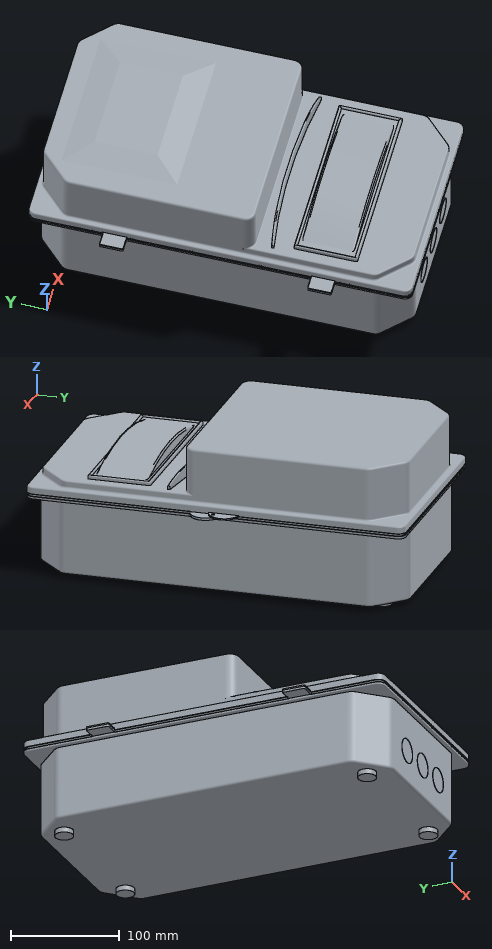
import cadquery as cq
import math

flange_width = 200.0
flange_length = 365.0
flange_corner_radius = 7.5
gasket_inset = 1.2
flange_edge_radius = 1.0
rim_edge_radius = 1.5

foot_height = 5.0
base_flange_bottom = 77.0
base_flange_top = 79.7
parting_level = 82.0
rim_top = 89.0
deck_top = 96.5
housing_top = 141.2
window_top = 146.0

base_inset = 4.2
corner_cut = 29.0
corner_blend = 10.0
bottom_edge_radius = 2.5
foot_diameter = 17.5
foot_x = 68.5
foot_y = 153.0
knockout_diameter = 23.8
knockout_pitch = 34.5
knockout_level = 37.0
knockout_depth = 0.3
knockout_count = 3

cover_inset = 5.8
deck_edge_radius = 1.5
housing_edge_radius = 2.5
rim_blend_radius = 2.0
housing_front_y = -31.3
housing_corner_radius = 10.0
housing_foot_radius = 1.2
level_tolerance = 0.1
window_width = 143.0
window_length = 110.0
window_center_y = 102.0
window_slope_run = 25.0

eyebrow_half_span = 87.3
eyebrow_back_y = -39.3
eyebrow_plan_rise = 7.3
eyebrow_thickness = 2.4
eyebrow_top = 106.7
eyebrow_flat_half = 53.0
eyebrow_end_radius = 90.0
eyebrow_edge_radius = 1.0

lid_width = 166.5
lid_length = 60.5
lid_height = 2.0
lid_center_y = -97.0
lid_bead_radius = 1.5
dome_width = 149.0
dome_length = 49.5
dome_peak = 109.5
dome_edge_radius = 1.5

hinge_reach = 14.0
hinge_width = 22.4
hinge_y = 99.0
hinge_corner_radius = 1.2
tab_top = 83.3
latch_radius = 14.5
latch_center_x = 97.95
latch_offset_y = 9.0
seal_hole_diameter = 3.0
seal_hole_x = 104.0


def rounded_plate(width, length, corner_radius, bottom, top):
    """Rectangular plate with rounded vertical corners, centred on Z."""
    plate = cq.Workplane("XY").workplane(offset=bottom).rect(width, length).extrude(top - bottom)
    return plate.edges("|Z").fillet(corner_radius)


def cut_corner_block(inset, bottom, top):
    """Block set back from the flange edge, with blended 45 degree corners."""
    block = (
        cq.Workplane("XY")
        .workplane(offset=bottom)
        .rect(flange_width - 2 * inset, flange_length - 2 * inset)
        .extrude(top - bottom)
    )
    return block.edges("|Z").chamfer(corner_cut).edges("|Z").fillet(corner_blend)


def side_tabs(latch_y, bottom, top):
    """Two hinge leaves on -X and one round latch ear on +X, reaching inside the flange."""
    root_x = -flange_width / 2 + gasket_inset + hinge_corner_radius
    tip_x = -flange_width / 2 - hinge_reach
    thickness = top - bottom
    leaves = (
        cq.Workplane("XY")
        .workplane(offset=bottom)
        .pushPoints([((root_x + tip_x) / 2, y) for y in (-hinge_y, hinge_y)])
        .rect(root_x - tip_x, hinge_width)
        .extrude(thickness)
        .edges("|Z and <X")
        .fillet(hinge_corner_radius)
    )
    ear = (
        cq.Workplane("XY")
        .workplane(offset=bottom)
        .center(latch_center_x, latch_y)
        .circle(latch_radius)
        .extrude(thickness)
    )
    return leaves.union(ear)


def seal_hole():
    """Drill for the seal wire through both latch ears."""
    return (
        cq.Workplane("XY")
        .workplane(offset=base_flange_top)
        .center(seal_hole_x, 0)
        .circle(seal_hole_diameter / 2)
        .extrude(tab_top - base_flange_top)
    )


def make_base():
    body = cut_corner_block(base_inset, foot_height, base_flange_top)
    body = body.faces("<Z").edges().fillet(bottom_edge_radius)
    flange = rounded_plate(
        flange_width, flange_length, flange_corner_radius, base_flange_bottom, base_flange_top
    )
    flange = flange.faces("<Z").edges().fillet(flange_edge_radius)
    gasket_band = rounded_plate(
        flange_width - 2 * gasket_inset,
        flange_length - 2 * gasket_inset,
        flange_corner_radius - gasket_inset,
        base_flange_top,
        parting_level,
    )
    feet = (
        cq.Workplane("XY")
        .rect(2 * foot_x, 2 * foot_y, forConstruction=True)
        .vertices()
        .circle(foot_diameter / 2)
        .extrude(foot_height)
    )
    tabs = side_tabs(-latch_offset_y, base_flange_top, parting_level)
    base = body.union(flange).union(gasket_band).union(feet).union(tabs)

    front_y = -flange_length / 2 + base_inset
    knockouts = (
        cq.Workplane("XZ", origin=(0, front_y, knockout_level))
        .rarray(knockout_pitch, 1, knockout_count, 1)
        .circle(knockout_diameter / 2)
        .extrude(-knockout_depth)
    )
    return base.cut(knockouts).cut(seal_hole())


def make_housing():
    """Tall meter housing: the rear part of the cover outline."""
    outline = cut_corner_block(cover_inset, rim_top, housing_top)
    rear_y = flange_length / 2
    rear_half = (
        cq.Workplane("XY")
        .workplane(offset=rim_top)
        .center(0, (rear_y + housing_front_y) / 2)
        .rect(flange_width - 2 * cover_inset, rear_y - housing_front_y)
        .extrude(housing_top - rim_top)
        .edges("|Z and <Y")
        .fillet(housing_corner_radius)
    )
    return outline.intersect(rear_half).faces(">Z").edges().fillet(housing_edge_radius)


def make_window():
    """Raised window with four sloping sides."""
    return (
        cq.Workplane("XY", origin=(0, window_center_y, housing_top))
        .rect(window_width, window_length)
        .workplane(offset=window_top - housing_top)
        .rect(window_width - 2 * window_slope_run, window_length - 2 * window_slope_run)
        .loft(ruled=True)
    )


def make_eyebrow():
    """Thin rib, bowed in plan, with a level top that curves down at both ends."""
    end_y = eyebrow_back_y - eyebrow_plan_rise
    end_front_y = end_y - eyebrow_thickness
    strip = (
        cq.Workplane("XY")
        .workplane(offset=deck_top)
        .moveTo(-eyebrow_half_span, end_y)
        .threePointArc((0, eyebrow_back_y), (eyebrow_half_span, end_y))
        .lineTo(eyebrow_half_span, end_front_y)
        .threePointArc((0, eyebrow_back_y - eyebrow_thickness), (-eyebrow_half_span, end_front_y))
        .close()
        .extrude(eyebrow_top - deck_top)
    )
    end_run = eyebrow_half_span - eyebrow_flat_half
    end_level = eyebrow_top - eyebrow_end_radius + math.sqrt(eyebrow_end_radius**2 - end_run**2)
    elevation = (
        cq.Workplane("XZ", origin=(0, eyebrow_back_y, 0))
        .moveTo(-eyebrow_half_span, deck_top)
        .lineTo(-eyebrow_half_span, end_level)
        .radiusArc((-eyebrow_flat_half, eyebrow_top), eyebrow_end_radius)
        .lineTo(eyebrow_flat_half, eyebrow_top)
        .radiusArc((eyebrow_half_span, end_level), eyebrow_end_radius)
        .lineTo(eyebrow_half_span, deck_top)
        .close()
        .extrude(eyebrow_back_y - end_front_y)
    )
    rib = strip.intersect(elevation)
    return rib.faces(">Z").edges("not #Z").fillet(eyebrow_edge_radius)


def make_cover():
    rim = rounded_plate(flange_width, flange_length, flange_corner_radius, parting_level, rim_top)
    rim = rim.faces(">Z").edges().fillet(rim_edge_radius)
    deck = cut_corner_block(cover_inset, rim_top, deck_top)
    deck = deck.faces(">Z").edges().fillet(deck_edge_radius)
    upper = deck.union(make_housing())
    cover = rim.union(upper)
    reach_x = flange_width / 2 - rim_blend_radius
    reach_y = flange_length / 2 - rim_blend_radius
    wall_foot = cq.selectors.BoxSelector(
        (-reach_x, -reach_y, rim_top - level_tolerance),
        (reach_x, reach_y, rim_top + level_tolerance),
        boundingbox=True,
    )
    cover = cover.edges(wall_foot).fillet(rim_blend_radius)
    cover = cover.edges(cq.selectors.NearestToPointSelector((0, housing_front_y, deck_top)))
    cover = cover.fillet(housing_foot_radius)
    cover = cover.union(make_window()).union(make_eyebrow())
    cover = cover.union(side_tabs(latch_offset_y, parting_level, tab_top))
    return cover.cut(seal_hole())


def make_lid_bead(level):
    """Half-round bead bars with ball corners, on the edge of the lid plate."""
    reach_x = lid_width / 2 - lid_bead_radius
    reach_y = lid_length / 2 - lid_bead_radius
    bead = cq.Workplane("XY")
    for side in (-1, 1):
        long_bar = cq.Workplane("YZ", origin=(-reach_x, lid_center_y + side * reach_y, level))
        bead = bead.union(long_bar.circle(lid_bead_radius).extrude(2 * reach_x))
        short_bar = cq.Workplane("XZ", origin=(side * reach_x, lid_center_y + reach_y, level))
        bead = bead.union(short_bar.circle(lid_bead_radius).extrude(2 * reach_y))
        for end in (-1, 1):
            corner = (side * reach_x, lid_center_y + end * reach_y, level)
            bead = bead.union(cq.Workplane("XY", origin=corner).sphere(lid_bead_radius))
    return bead


def make_dome():
    """Arched breaker cover, rounded along its two curved edges."""
    spring_level = deck_top + lid_height
    dome = (
        cq.Workplane("XZ", origin=(0, lid_center_y + dome_length / 2, 0))
        .moveTo(-dome_width / 2, spring_level)
        .threePointArc((0, dome_peak), (dome_width / 2, spring_level))
        .close()
        .extrude(dome_length)
    )
    return dome.faces(">Z").edges("not |Y").fillet(dome_edge_radius)


def make_lid():
    lid_top = deck_top + lid_height
    plate = rounded_plate(lid_width, lid_length, lid_bead_radius, deck_top, lid_top)
    plate = plate.translate((0, lid_center_y, 0))
    return plate.union(make_lid_bead(lid_top)).union(make_dome())


base = make_base().solids()
cover = make_cover().solids()
lid = make_lid().solids()
result = cq.Compound.makeCompound([base.val(), cover.val(), lid.val()])